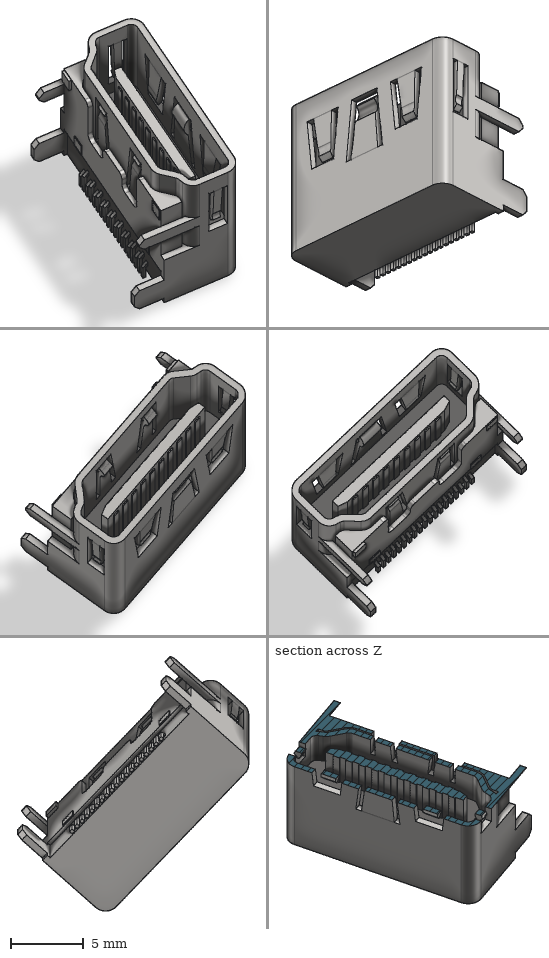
import cadquery as cq
import math


half_width = 7.5
wall = 0.5
shell_height = 11.55
shell_depth = 5.5
front_depth = 5.97
shoulder_z = 4.75
inner_half_width = half_width - wall

corner_radius = 1.0
waist_radius = corner_radius - wall
side_end_depth = 3.96
waist_x = 6.33
waist_depth = 4.3
front_corner_x = waist_x - (shell_depth - waist_depth)

plate_top = 9.7
plate_back_depth = 4.32
plate_gap = 0.09
notch_half_width = 3.52
notch_floor = 5.84
notch_round = 0.45
notch_outer_round = 0.55
bridge_half_width = 1.4
bridge_top = 7.25
recess_top = 2.94
recess_depth = 5.7

upper_leg = (6.92, 7.96, 7.9)
lower_leg = (0.5, 2.52, 8.28)
leg_root_depth = 3.0
tip_chamfer_depth = 0.39
tip_chamfer_height = 0.44

tongue_half_width = 5.37
tongue_back = 2.38
tongue_front = 3.15
tongue_top = 9.57
tongue_chamfer_x = 0.69
tongue_chamfer_depth = 0.22
contact_width = 0.5
contact_relief = 0.09
contact_top = 9.14
back_contacts = 10
front_contacts = 9
back_row_length = 9.0
contact_pitch = back_row_length / (back_contacts - 1)

pin_width = 0.25
pin_thickness = 0.24
pin_front_depth = 6.09
pin_drop = 0.45
short_pin_bend = 0.66
long_pin_bend = 1.11

pad_width = 1.0
upper_pad_x = 6.4
upper_pad_top = 9.66
upper_pad_height = 1.05
lower_pad_x = 4.88
lower_pad_top = 4.05
pad_relief = 0.08
tall_pad_relief = 0.21

edge_slope = 0.11
spring_slope = 0.1
front_window_outer = 3.3
front_window_inner = 1.7
front_window_top = 10.41
front_window_floor = 5.7
front_spring_outer = 2.92
front_spring_inner = 2.05

middle_window_half = 1.2
middle_window_top = 9.8
middle_window_floor = 5.1
middle_spring_half = 0.8
middle_spring_lean = 0.09
middle_spring_reach = 0.85

back_window_x = 3.98
back_window_half = 1.47
back_window_top = 9.75
back_window_floor = 5.85
back_spring_half = 0.85
back_spring_lean = 0.18
back_spring_reach = 0.74

side_window_depth = 1.77
side_window_half = 0.72
side_window_top = 10.05
side_window_floor = 5.85
side_spring_half = 0.33
side_spring_slope = 0.02
side_spring_lean = 0.14
side_spring_reach = 0.75

tip_clearance = 0.27
curl_start = 1.42
curl_middle = 1.05
curl_waist = 0.72
curl_lip = 0.38
curl_shoulder = 0.28
lip_inset = 0.33
shoulder_inset = 0.65
waist_inset = 0.39
curl_bulge = 0.14
curl_reach = 0.87

hanging_tip = 6.36
bow_length = 1.06
middle_bow_length = 1.5
bow_middle = 0.72
bow_end = 0.36

position_tolerance = 0.002


def block(x0, x1, depth0, depth1, z0, z1):
    """Box between two X values, two depths and two heights."""
    size = (x1 - x0, depth1 - depth0, z1 - z0)
    return cq.Workplane("XY").box(*size, centered=False).translate((x0, -depth1, z0))


def both_sides(solid):
    return solid.union(solid.mirror("YZ"))


def wall_prism(points, y0, y1):
    """Prism with an XZ outline, running from y0 to y1."""
    return cq.Workplane("XZ", origin=(0, y1, 0)).polyline(points).close().extrude(y1 - y0)


def round_edges(solid, direction, x, depth=None, z=None, radius=notch_round):
    """Fillet the straight edges along a direction that lie at +-x and the given depth or height."""

    def is_chosen(edge):
        centre = edge.Center()
        misses = [abs(abs(centre.x) - x)]
        if depth is not None:
            misses.append(abs(centre.y + depth))
        if z is not None:
            misses.append(abs(centre.z - z))
        return max(misses) < position_tolerance

    return solid.edges(direction).filter(is_chosen).fillet(radius)


def mouth_prism(offset, z0, z1):
    """D-shaped prism with its outline moved outwards by offset."""
    half = [
        (half_width, 0),
        (half_width, side_end_depth),
        (waist_x, waist_depth),
        (front_corner_x, shell_depth),
    ]
    outline = [(x, -depth) for x, depth in half] + [(-x, -depth) for x, depth in reversed(half)]
    solid = cq.Workplane("XY").polyline(outline).close().extrude(0.15)
    for x, depth in half:
        radius = waist_radius if x == waist_x else corner_radius
        solid = round_edges(solid, "|Z", x, depth=depth, radius=radius)
    wire = solid.faces("<Z").wires().val()
    if offset:
        wire = wire.offset2D(offset)[0]
    return cq.Workplane("XY").add(wire).toPending().extrude(z1 - z0).translate((0, 0, z0))


def taper(x_left, x_right, left_slope, right_slope, z0, z1):
    """Four-sided outline, x_left to x_right wide at z1, growing by the slopes towards z0."""
    height = z1 - z0
    return [
        (x_left, z1),
        (x_right, z1),
        (x_right + right_slope * height, z0),
        (x_left - left_slope * height, z0),
    ]


def centred_taper(x, half, left_slope, right_slope, z0, z1):
    return taper(x - half, x + half, left_slope, right_slope, z0, z1)


def curled_spring(outline, root_z, tip_z):
    """Spring in a wall with its outer face on Y = 0 and the mouth towards +Y, its top end curled."""
    start_z = tip_z - curl_start
    middle_z = tip_z - curl_middle
    waist_z = tip_z - curl_waist
    profile = (
        cq.Workplane("YZ")
        .moveTo(0, root_z)
        .lineTo(0, start_z)
        .threePointArc((curl_bulge, middle_z), (waist_inset, waist_z))
        .lineTo(0, tip_z - curl_lip)
        .lineTo(lip_inset, tip_z)
        .lineTo(shoulder_inset, tip_z - curl_shoulder)
        .threePointArc((curl_reach, waist_z), (wall + curl_bulge, middle_z))
        .lineTo(wall, start_z)
        .lineTo(wall, root_z)
        .close()
        .extrude(half_width, both=True)
    )
    return profile.intersect(wall_prism(outline, 0, curl_reach + wall))


def bowed_spring(outline, root_z, tip_z, length, lean, reach):
    """Spring in a wall placed as above, leaning into the mouth from its root to a bowed tip."""
    towards_root = math.copysign(1, root_z - tip_z)
    bow_z = tip_z + towards_root * length
    middle_z = tip_z + towards_root * bow_middle
    end_z = tip_z + towards_root * bow_end
    profile = (
        cq.Workplane("YZ")
        .moveTo(0, root_z)
        .lineTo(lean, bow_z)
        .threePointArc((reach - wall, middle_z), (lean, end_z))
        .lineTo(lean + lip_inset, tip_z)
        .threePointArc((reach, middle_z), (wall + lean, bow_z))
        .lineTo(wall, root_z)
        .close()
        .extrude(half_width, both=True)
    )
    return profile.intersect(wall_prism(outline, 0, reach + wall))


def to_back(solid):
    return solid.rotate((0, 0, 0), (0, 0, 1), 180)


def to_left_side(solid):
    """Turn a wall feature so that it faces the mouth from the left wall; its X becomes depth."""
    return solid.rotate((0, 0, 0), (0, 0, 1), -90).translate((-half_width, 0, 0))


shell = mouth_prism(0, 0, shell_height)
base = block(-half_width, half_width, leg_root_depth, front_depth, 0, shoulder_z)

plate = block(-inner_half_width, inner_half_width, plate_back_depth, front_depth, shoulder_z, plate_top)
plate = plate.cut(mouth_prism(plate_gap, shoulder_z, plate_top))
notch = wall_prism(
    [
        (-notch_half_width, plate_top + notch_round),
        (-notch_half_width, notch_floor),
        (-bridge_half_width, notch_floor),
        (-bridge_half_width, bridge_top),
        (bridge_half_width, bridge_top),
        (bridge_half_width, notch_floor),
        (notch_half_width, notch_floor),
        (notch_half_width, plate_top + notch_round),
    ],
    -front_depth,
    -shell_depth,
)
notch = round_edges(notch, "|Y", notch_half_width, z=notch_floor, radius=notch_outer_round)
notch = round_edges(notch, "|Y", bridge_half_width, z=notch_floor)
notch = round_edges(notch, "|Y", bridge_half_width, z=bridge_top)
plate = round_edges(plate.cut(notch), "|Y", notch_half_width, z=plate_top)

housing = shell.union(base).union(plate)
housing = housing.cut(mouth_prism(-wall, shoulder_z, shell_height))
housing = housing.cut(block(-inner_half_width, inner_half_width, recess_depth, front_depth, 0, recess_top))


def leg(underside, top, reach):
    solid = block(inner_half_width, half_width, leg_root_depth, reach, underside, top)
    tip = solid.faces("<Y").edges("|X")
    return tip.chamfer(tip_chamfer_height, tip_chamfer_depth)


for leg_size in (upper_leg, lower_leg):
    housing = housing.union(both_sides(leg(*leg_size)))


def add_spring_pair(body, window, spring):
    return body.cut(both_sides(window)).union(both_sides(spring))


front_tip = front_window_top - tip_clearance
front_window = wall_prism(
    taper(-front_window_outer, -front_window_inner, 0, edge_slope, front_window_floor, front_window_top),
    0,
    wall,
)
front_spring = curled_spring(
    taper(-front_spring_outer, -front_spring_inner, 0, spring_slope, front_window_floor, front_tip),
    front_window_floor,
    front_tip,
)
to_front = (0, -shell_depth, 0)
housing = add_spring_pair(housing, front_window.translate(to_front), front_spring.translate(to_front))

middle_tip = middle_window_top - tip_clearance
middle_window = wall_prism(
    centred_taper(0, middle_window_half, edge_slope, edge_slope, middle_window_floor, middle_window_top),
    0,
    wall,
)
middle_spring = bowed_spring(
    centred_taper(0, middle_spring_half, edge_slope, edge_slope, middle_window_floor, middle_tip),
    middle_window_floor,
    middle_tip,
    middle_bow_length,
    middle_spring_lean,
    middle_spring_reach,
)
housing = housing.cut(to_back(middle_window)).union(to_back(middle_spring))

back_window = wall_prism(
    centred_taper(
        back_window_x, back_window_half, -edge_slope, -edge_slope, back_window_floor, back_window_top
    ),
    0,
    wall,
)
back_spring = bowed_spring(
    centred_taper(
        back_window_x, back_spring_half, -spring_slope, -spring_slope, hanging_tip, back_window_top
    ),
    back_window_top,
    hanging_tip,
    bow_length,
    back_spring_lean,
    back_spring_reach,
)
housing = add_spring_pair(housing, to_back(back_window), to_back(back_spring))

side_window = wall_prism(
    centred_taper(side_window_depth, side_window_half, 0, 0, side_window_floor, side_window_top),
    0,
    wall,
)
side_spring = bowed_spring(
    centred_taper(side_window_depth, side_spring_half, -side_spring_slope, 0, hanging_tip, side_window_top),
    side_window_top,
    hanging_tip,
    bow_length,
    side_spring_lean,
    side_spring_reach,
)
housing = add_spring_pair(housing, to_left_side(side_window), to_left_side(side_spring))

tongue = block(-tongue_half_width, tongue_half_width, tongue_back, tongue_front, shoulder_z, tongue_top)
tongue = tongue.faces("<Y").edges("|Z").chamfer(tongue_chamfer_depth, tongue_chamfer_x)


def contact(x, depth0, depth1):
    return block(x - contact_width / 2, x + contact_width / 2, depth0, depth1, shoulder_z, contact_top)


def row(count):
    """X positions of a centred row of contacts or pins."""
    return [(i - (count - 1) / 2) * contact_pitch for i in range(count)]


for x in row(back_contacts):
    tongue = tongue.union(contact(x, tongue_back - contact_relief, tongue_back))
for x in row(front_contacts):
    tongue = tongue.union(contact(x, tongue_front, tongue_front + contact_relief))
housing = housing.union(tongue)


def pin(x, bend_z):
    run = pin_front_depth - recess_depth
    inner_run = run - pin_thickness
    inner_bend_z = bend_z - pin_thickness * math.tan(math.pi / 8)
    return (
        cq.Workplane("YZ", origin=(x - pin_width / 2, 0, 0))
        .polyline(
            [
                (-pin_front_depth, -pin_drop),
                (-pin_front_depth, bend_z),
                (-recess_depth, bend_z + run),
                (-recess_depth, inner_bend_z + inner_run),
                (-recess_depth - inner_run, inner_bend_z),
                (-recess_depth - inner_run, -pin_drop),
            ]
        )
        .close()
        .extrude(pin_width)
    )


for x in row(back_contacts):
    housing = housing.union(pin(x, short_pin_bend))
for x in row(front_contacts):
    housing = housing.union(pin(x, long_pin_bend))


def pad(x, top, height, relief):
    return block(x - pad_width / 2, x + pad_width / 2, front_depth, front_depth + relief, top - height, top)


for side in (-1, 1):
    relief = tall_pad_relief if side < 0 else pad_relief
    housing = housing.union(pad(side * upper_pad_x, upper_pad_top, upper_pad_height, relief))
    housing = housing.union(pad(side * lower_pad_x, lower_pad_top, pad_width, pad_relief))

result = housing